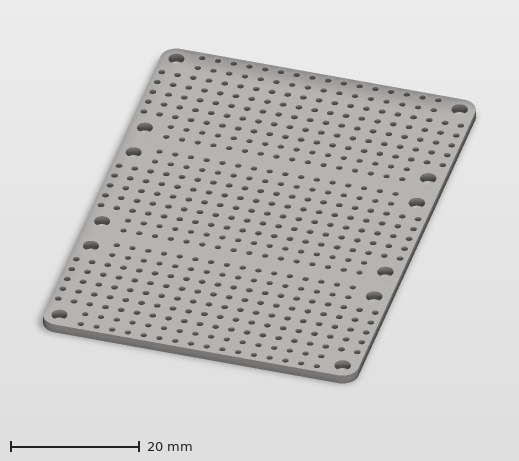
import cadquery as cq

length = 71.1
pitches_along_length = 28
pitches_along_width = 20
pitch = length / pitches_along_length
width = pitches_along_width * pitch
thickness = 1.6
corner_radius = pitch

block_count = 3
block_spacing = 9.5 * pitch

full_columns = 20
full_rows = 5
full_row_hole_diameter = 1.1

short_columns = 16
short_rows = 2
short_row_hole_diameter = 1.0
short_row_offset = (full_rows + short_rows) / 2 * pitch

mounting_offset_x = width / 2 - pitch
mounting_spacing_y = 2 * short_row_offset
left_mounting_diameter = 2.5
right_mounting_diameter = 2.55


def drill_grid(board, center, columns, rows, diameter, spacing_y=pitch):
    """Drill a grid of through holes around the given (x, y) center."""
    return (
        board.faces(">Z")
        .workplane(origin=(*center, 0))
        .rarray(pitch, spacing_y, columns, rows)
        .hole(diameter)
    )


def drill_block(board, center_y):
    """Drill one block: full rows, short rows at both ends, mounting holes."""
    board = drill_grid(board, (0, center_y), full_columns, full_rows, full_row_hole_diameter)
    for end in (-1, 1):
        row_center = (0, center_y + end * short_row_offset)
        board = drill_grid(board, row_center, short_columns, short_rows, short_row_hole_diameter)
    for side, diameter in ((-1, left_mounting_diameter), (1, right_mounting_diameter)):
        mounting_center = (side * mounting_offset_x, center_y)
        board = drill_grid(board, mounting_center, 1, 2, diameter, mounting_spacing_y)
    return board


board = cq.Workplane("XY").box(width, length, thickness).edges("|Z").fillet(corner_radius)
for block in range(block_count):
    block_y = (block - (block_count - 1) / 2) * block_spacing
    board = drill_block(board, block_y)

result = board